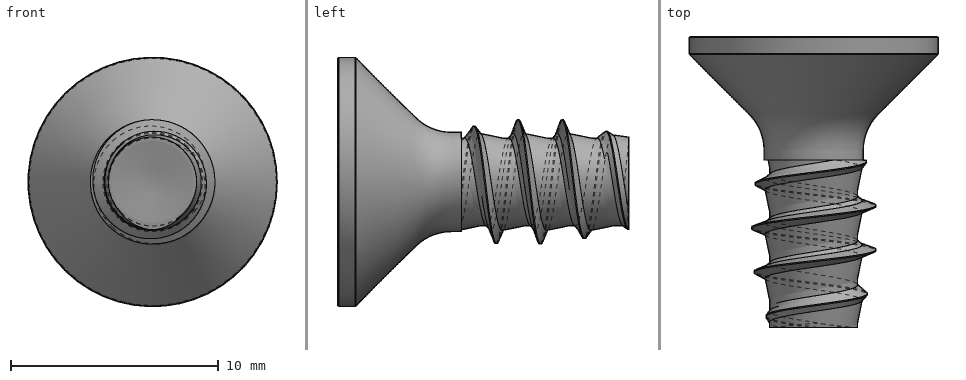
import cadquery as cq
import math

length = 14.0
head_radius = 5.999

rim_height = 0.85
rim_break = 0.05
lower_rim_break = 0.03
neck_radius = 2.4
neck_end = 5.95
neck_blend_radius = 2.44

core_radius = 2.11
tip_recess_radius = 1.96
tip_recess_depth = 0.21

pitch = 2.13
thread_depth = 6.02
first_turn = -2
last_turn = 5
points_per_turn = 16
peak_radius = 3.0
entry_radius = 2.55
entry_growth = 0.56
exit_turn = 2.3
faded_crest_radius = 2.3
exit_loss = 0.59

head_toe_offset = -0.45
head_shoulder_offset = -0.25
crest_half_width = 0.03
tip_shoulder_offset = 0.3
tip_toe_offset = 1.39
shoulder_radius = 2.34
shoulder_drop = 0.17


def make_head():
    """Countersunk head with its blended neck."""
    diagonal = math.sqrt(0.5)
    blend_start_radius = neck_radius + neck_blend_radius * (1 - diagonal)
    blend_start = rim_height + head_radius - blend_start_radius
    blend_end = blend_start + neck_blend_radius * diagonal
    blend_middle = (
        neck_radius + neck_blend_radius * (1 - math.cos(math.pi / 8)),
        -(blend_end - neck_blend_radius * math.sin(math.pi / 8)),
    )
    return (
        cq.Workplane("XY")
        .moveTo(0, 0)
        .lineTo(head_radius - rim_break, 0)
        .lineTo(head_radius, -rim_break)
        .lineTo(head_radius, lower_rim_break - rim_height)
        .lineTo(head_radius - lower_rim_break, -rim_height - lower_rim_break)
        .lineTo(blend_start_radius, -blend_start)
        .threePointArc(blend_middle, (neck_radius, -blend_end))
        .lineTo(neck_radius, -neck_end)
        .lineTo(0, -neck_end)
        .close()
        .revolve(360, (0, 0, 0), (0, 1, 0))
    )


def crest_radius(turn):
    """Crest that grows out of the neck and fades into the core at the tip."""
    growing = entry_radius + entry_growth * max(0, turn)
    fading = peak_radius - exit_loss * (turn - exit_turn)
    return max(faded_crest_radius, min(growing, peak_radius, fading))


def shoulder(turn):
    return min(shoulder_radius, crest_radius(turn) - shoulder_drop)


def core(turn):
    return core_radius


thread_section = [
    (core, head_toe_offset),
    (shoulder, head_shoulder_offset),
    (crest_radius, -crest_half_width),
    (crest_radius, crest_half_width),
    (shoulder, tip_shoulder_offset),
    (core, tip_toe_offset),
    (core, head_toe_offset + pitch),
]


def axis(turn):
    return 0


def thread_point(radius_at, offset, turn):
    """Point at an axial offset from the crest, with a radius set by the turn."""
    angle = 2 * math.pi * turn
    radius = radius_at(turn)
    depth = thread_depth + pitch * turn + offset
    return cq.Vector(radius * math.cos(angle), -depth, radius * math.sin(angle))


def turn_edge(radius_at, offset, start):
    """One full turn of a helical curve."""
    turns = [start + step / points_per_turn for step in range(points_per_turn + 1)]
    return cq.Edge.makeSpline([thread_point(radius_at, offset, turn) for turn in turns])


def end_faces(start):
    """Helicoid and flat radial face that together close an end of the rod."""
    rim = turn_edge(core, head_toe_offset, start)
    first_centre = thread_point(axis, head_toe_offset, start)
    last_centre = thread_point(axis, head_toe_offset, start + 1)
    helicoid = cq.Face.makeRuledSurface(rim, cq.Edge.makeLine(first_centre, last_centre))
    corners = [thread_point(radius_at, offset, start) for radius_at, offset in thread_section]
    outline = cq.Wire.makePolygon([first_centre, *corners, last_centre], close=True)
    return [helicoid, cq.Face.makeFromWires(outline)]


def make_threaded_rod():
    """Core and thread as one skin of ruled faces, cut to run from the neck to the tip."""
    faces = end_faces(first_turn) + end_faces(last_turn)
    for start in range(first_turn, last_turn):
        edges = [turn_edge(radius_at, offset, start) for radius_at, offset in thread_section]
        for edge, following in zip(edges, edges[1:]):
            faces.append(cq.Face.makeRuledSurface(edge, following))
    rod = cq.Solid.makeSolid(cq.Shell.makeShell(faces))
    span = cq.Workplane("XZ", origin=(0, -neck_end, 0)).circle(head_radius).extrude(length - neck_end)
    return span.intersect(cq.Workplane("XY").add(rod))


def make_tip_recess():
    """Shallow cone sunk into the end face."""
    return (
        cq.Workplane("XY")
        .moveTo(0, -length)
        .lineTo(tip_recess_radius, -length)
        .lineTo(0, tip_recess_depth - length)
        .close()
        .revolve(360, (0, 0, 0), (0, 1, 0))
    )


result = make_head().union(make_threaded_rod()).cut(make_tip_recess())